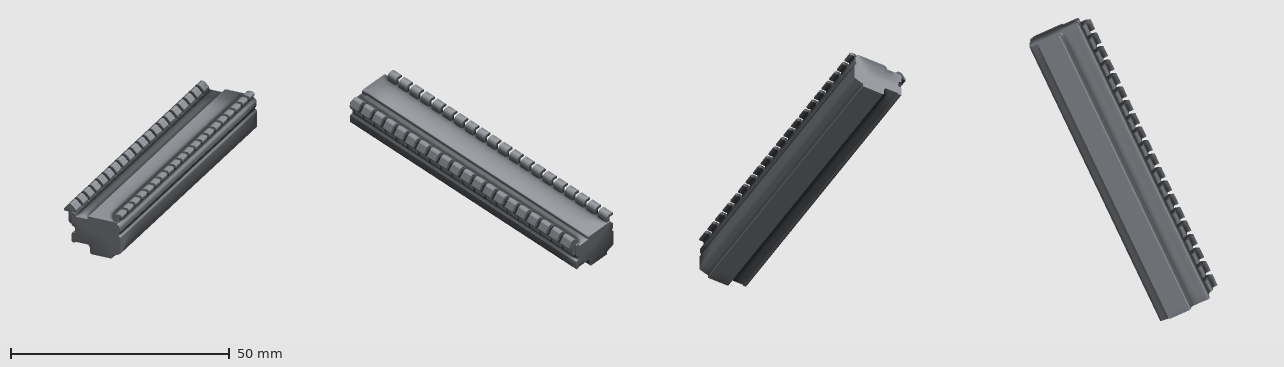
import cadquery as cq

LENGTH = 71.5
TOTAL_HEIGHT = 11.5
PLATE_THICKNESS = 1.35

ROW_COUNT = 20
PIECE_WIDTH = 2.5
FIRST_PIECE_EXTRA = 0.3
FIRST_PIECE_Y = 0.6
LAST_PIECE_Y = 67.15
ROW_PITCH = (LAST_PIECE_Y - FIRST_PIECE_Y) / (ROW_COUNT - 1)

TOP_Z = 9.5
CHANNEL_Z = 8.7
CHANNEL_WALL_X = 6.2
CHANNEL_ROUND = 0.2

LEFT_X = 2.15
RIB_RIGHT_X = 3.15
RIB_ROUND_Z = 6.5
RIB_ROUND_MIDDLE = (2.3, 6.3)
RIB_ROUND_END = (2.6, 6.15)
RIB_BOTTOM_Z = 5.85

GROOVE_X = 3.0
LEDGE_TOP_Z = 4.5
LEDGE_BOTTOM_Z = 2.0
LEDGE_ROUND = 0.35

UNDERSIDE_Z = 2.3
FOOT_SLOPE_START_X = 6.35
FOOT_WALL_TOP_Z = 1.85
FOOT_LEFT_X = 6.85
FOOT_RIGHT_X = 12.3
FOOT_DRAFT = 0.15
FOOT_CHAMFER = 0.2

SHOULDER_X = 13.6
SHOULDER_Z = 9.1
NOSE_X = 14.4
NOSE_TOP_Z = 8.0
NOSE_ROUND_MIDDLE = (14.15, 8.65)
NOSE_BOTTOM_Z = 7.15
NOTCH_X = 14.0
NOTCH_TOP_Z = 6.4
NOTCH_BOTTOM_Z = 6.1
RIGHT_X = 14.5
RIGHT_TOP_Z = 5.6
RIGHT_ROUND_MIDDLE = (14.4, 5.9)
RIGHT_BOTTOM_Z = 1.7
SLOPE_START = (14.1, 1.4)
SLOPE_END_Z = 0.8

PLATE_FLOOR_Z = 8.6
PLATE_WALL_X = 6.1
PLATE_ROUND = 0.6

LATCH_LEG_X = 1.15
LATCH_NOSE_Z = 9.95
LATCH_CREST = [(1.0, 11.3), (1.5, TOTAL_HEIGHT), (1.7, TOTAL_HEIGHT), (2.1, 11.4)]
LATCH_RIGHT_Z = 10.3
LATCH_LEG_BOTTOM_Z = 7.6
LATCH_ROUND_MIDDLE = (1.4, 6.8)

HOOK_LEFT_X = 12.5
HOOK_TIP_X = 14.7
HOOK_ARM_Z = 10.65
HOOK_ROUND = 1.1
HOOK_CHAMFER = 0.35


def extrude_along_y(outline, start, length):
    """Extrude an XZ outline toward +Y, beginning at the given Y."""
    return outline.close().extrude(-length).translate((0, start, 0))


def round_to(outline, x, z):
    """Continue the last line with an arc tangent to it."""
    return outline.tangentArcPoint((x, z), relative=False)


def add_right_side(outline):
    """From the flat top, down the right side to the foot."""
    return (
        outline.lineTo(SHOULDER_X, TOP_Z)
        .lineTo(SHOULDER_X, SHOULDER_Z)
        .threePointArc(NOSE_ROUND_MIDDLE, (NOSE_X, NOSE_TOP_Z))
        .lineTo(NOSE_X, NOSE_BOTTOM_Z)
        .lineTo(NOTCH_X, NOTCH_TOP_Z)
        .lineTo(NOTCH_X, NOTCH_BOTTOM_Z)
        .threePointArc(RIGHT_ROUND_MIDDLE, (RIGHT_X, RIGHT_TOP_Z))
        .lineTo(RIGHT_X, RIGHT_BOTTOM_Z)
        .lineTo(*SLOPE_START)
        .lineTo(FOOT_RIGHT_X, SLOPE_END_Z)
    )


def add_foot(outline):
    """Around the foot and along the underside to the groove."""
    return (
        outline.lineTo(FOOT_RIGHT_X, 0)
        .lineTo(FOOT_LEFT_X + FOOT_CHAMFER, 0)
        .lineTo(FOOT_LEFT_X, FOOT_CHAMFER)
        .lineTo(FOOT_LEFT_X - FOOT_DRAFT, FOOT_WALL_TOP_Z)
        .lineTo(FOOT_SLOPE_START_X, UNDERSIDE_Z)
        .lineTo(GROOVE_X, UNDERSIDE_Z)
    )


def add_left_side(outline):
    """Around the ledge, through the groove and up to the left wall of the rib."""
    outline = outline.lineTo(GROOVE_X, LEDGE_BOTTOM_Z).lineTo(LEFT_X + LEDGE_ROUND, LEDGE_BOTTOM_Z)
    outline = round_to(outline, LEFT_X, LEDGE_BOTTOM_Z + LEDGE_ROUND)
    outline = outline.lineTo(LEFT_X, LEDGE_TOP_Z - LEDGE_ROUND)
    outline = round_to(outline, LEFT_X + LEDGE_ROUND, LEDGE_TOP_Z)
    return (
        outline.lineTo(GROOVE_X, LEDGE_TOP_Z)
        .lineTo(GROOVE_X, RIB_BOTTOM_Z)
        .lineTo(*RIB_ROUND_END)
        .threePointArc(RIB_ROUND_MIDDLE, (LEFT_X, RIB_ROUND_Z))
    )


def start_section(top_left_x):
    """Part of the cross-section that the body and the end plate share."""
    outline = cq.Workplane("XZ").moveTo(top_left_x, TOP_Z)
    return add_left_side(add_foot(add_right_side(outline)))


def make_body():
    """Long body with a rib on the left and a channel beside it."""
    top_left_x = CHANNEL_WALL_X + CHANNEL_ROUND
    outline = (
        start_section(top_left_x)
        .lineTo(LEFT_X, TOP_Z)
        .lineTo(RIB_RIGHT_X, TOP_Z)
        .lineTo(RIB_RIGHT_X, CHANNEL_Z)
        .lineTo(CHANNEL_WALL_X - CHANNEL_ROUND, CHANNEL_Z)
    )
    outline = round_to(outline, CHANNEL_WALL_X, CHANNEL_Z + CHANNEL_ROUND)
    outline = outline.lineTo(CHANNEL_WALL_X, TOP_Z - CHANNEL_ROUND)
    outline = round_to(outline, top_left_x, TOP_Z)
    return extrude_along_y(outline, 0, LENGTH - PLATE_THICKNESS)


def make_end_plate():
    """End plate without the rib, with its two upper left edges rounded."""
    top_left_x = PLATE_WALL_X + PLATE_ROUND
    outline = start_section(top_left_x).lineTo(LEFT_X, PLATE_FLOOR_Z - PLATE_ROUND)
    outline = round_to(outline, LEFT_X + PLATE_ROUND, PLATE_FLOOR_Z)
    outline = outline.lineTo(PLATE_WALL_X, PLATE_FLOOR_Z).lineTo(PLATE_WALL_X, TOP_Z - PLATE_ROUND)
    outline = round_to(outline, top_left_x, TOP_Z)
    return extrude_along_y(outline, LENGTH - PLATE_THICKNESS, PLATE_THICKNESS)


def make_latch(start, width):
    """Arrow-headed latch that sits on the rib, with a leg down the rib's left wall."""
    outline = cq.Workplane("XZ").moveTo(0, TOP_Z).lineTo(0, LATCH_NOSE_Z)
    for x, z in LATCH_CREST:
        outline = outline.lineTo(x, z)
    outline = (
        outline.lineTo(RIB_RIGHT_X, LATCH_RIGHT_Z)
        .lineTo(RIB_RIGHT_X, TOP_Z)
        .lineTo(LEFT_X, TOP_Z)
        .lineTo(LEFT_X, RIB_ROUND_Z)
        .threePointArc(LATCH_ROUND_MIDDLE, (LATCH_LEG_X, LATCH_LEG_BOTTOM_Z))
        .lineTo(LATCH_LEG_X, TOP_Z)
    )
    return extrude_along_y(outline, start, width)


def make_hook(start, width):
    """Hook on the flat top, with a rounded back and an arm toward +X."""
    outline = cq.Workplane("XZ").moveTo(HOOK_LEFT_X, TOP_Z).lineTo(HOOK_LEFT_X, TOTAL_HEIGHT - HOOK_ROUND)
    outline = (
        round_to(outline, HOOK_LEFT_X + HOOK_ROUND, TOTAL_HEIGHT)
        .lineTo(HOOK_TIP_X - HOOK_CHAMFER, TOTAL_HEIGHT)
        .lineTo(HOOK_TIP_X, TOTAL_HEIGHT - HOOK_CHAMFER)
        .lineTo(HOOK_TIP_X, HOOK_ARM_Z)
        .lineTo(SHOULDER_X, HOOK_ARM_Z)
        .lineTo(SHOULDER_X, TOP_Z)
    )
    return extrude_along_y(outline, start, width)


result = make_body().union(make_end_plate())

for index in range(ROW_COUNT):
    extra = FIRST_PIECE_EXTRA if index == 0 else 0
    piece_y = FIRST_PIECE_Y + index * ROW_PITCH - extra
    piece_width = PIECE_WIDTH + extra
    result = result.union(make_latch(piece_y, piece_width))
    result = result.union(make_hook(piece_y, piece_width))